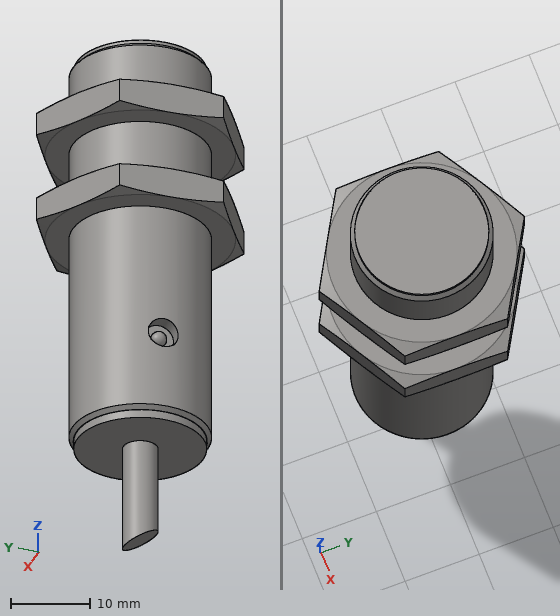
import cadquery as cq
import math


housing_dia = 18.0
front_cap_dia = 16.9
rear_cap_dia = 16.75
front_cap_height = 0.5
rear_cap_height = 1.1
housing_length = 54.05
chamfer = (housing_dia - front_cap_dia) / 2

cable_dia = 4.5
overall_length = 68.4
cable_cut_angle = 30.0

window_dia = 4.0
window_depth = 2.0
window_z = -41.95
dome_dia = 2.05

nut_across_flats = 24.0
nut_thickness = 4.05
nut_chamfer_angle = 15.0
nut_top_positions = [-7.95, -20.05]


def make_shell():
    """Housing barrel with chamfered ends and a narrower cap at each end."""
    barrel_top = -front_cap_height
    barrel_bottom = rear_cap_height - housing_length
    profile = [
        (0, 0),
        (front_cap_dia / 2, 0),
        (front_cap_dia / 2, barrel_top),
        (housing_dia / 2, barrel_top - chamfer),
        (housing_dia / 2, barrel_bottom + chamfer),
        (housing_dia / 2 - chamfer, barrel_bottom),
        (rear_cap_dia / 2, barrel_bottom),
        (rear_cap_dia / 2, -housing_length),
        (0, -housing_length),
    ]
    return cq.Workplane("XZ").polyline(profile).close().revolve(360, (0, 0), (0, 1))


def make_cable():
    """Cable stub, ending in an oblique cut."""
    radius = cable_dia / 2
    cut_rise = cable_dia * math.tan(math.radians(cable_cut_angle))
    profile = [
        (-radius, -housing_length),
        (radius, -housing_length),
        (radius, -overall_length),
        (-radius, -overall_length + cut_rise),
    ]
    side_slab = cq.Workplane("YZ").polyline(profile).close().extrude(radius, both=True)
    rod = cq.Workplane("XY", origin=(0, 0, -housing_length)).circle(radius)
    return rod.extrude(housing_length - overall_length).intersect(side_slab)


def make_housing():
    """Housing with its cable, indicator window and dome."""
    floor_x = -housing_dia / 2 + window_depth
    window = (
        cq.Workplane("YZ", origin=(floor_x, 0, window_z))
        .circle(window_dia / 2)
        .extrude(-housing_dia / 2)
    )
    dome = cq.Workplane("XY", origin=(floor_x, 0, window_z)).sphere(dome_dia / 2)
    return make_shell().union(make_cable()).cut(window).union(dome)


def make_nut(top_z):
    """Hexagonal nut with its flats facing +X and -X and corners chamfered on both faces."""
    flat_radius = nut_across_flats / 2
    corner_radius = flat_radius / math.cos(math.pi / 6)
    corner_drop = (corner_radius - flat_radius) * math.tan(math.radians(nut_chamfer_angle))
    bottom_z = top_z - nut_thickness
    hexagon = (
        cq.Workplane("XY", origin=(0, 0, bottom_z))
        .transformed(rotate=(0, 0, 90))
        .polygon(6, 2 * corner_radius)
        .extrude(nut_thickness)
    )
    corner_cone_profile = [
        (0, bottom_z),
        (flat_radius, bottom_z),
        (corner_radius, bottom_z + corner_drop),
        (corner_radius, top_z - corner_drop),
        (flat_radius, top_z),
        (0, top_z),
    ]
    envelope = cq.Workplane("XZ").polyline(corner_cone_profile).close().revolve(360, (0, 0), (0, 1))
    bore = cq.Workplane("XY", origin=(0, 0, bottom_z)).circle(housing_dia / 2).extrude(nut_thickness)
    return hexagon.intersect(envelope).cut(bore)


housing = make_housing()
nuts = [make_nut(top_z) for top_z in nut_top_positions]

result = cq.Compound.makeCompound([housing.val(), *[nut.val() for nut in nuts]])